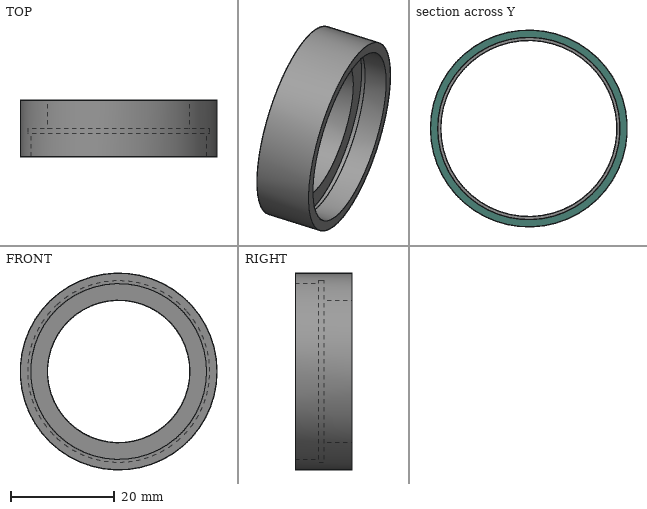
import cadquery as cq

outer_diameter = 38.1
bore_diameter = 27.5
width = 11.0
counterbore_diameter = 34.0
counterbore_depth = 5.5

groove_diameter = 35.2
groove_width = 1.0


def cylinder_along_y(diameter, start, end):
    """Cylinder on the Y axis between the two given Y positions."""
    return cq.Workplane("XZ", origin=(0, start, 0)).circle(diameter / 2).extrude(start - end)


ring = cylinder_along_y(outer_diameter, 0, width)
bore = cylinder_along_y(bore_diameter, 0, width)
counterbore = cylinder_along_y(counterbore_diameter, 0, counterbore_depth)
groove = cylinder_along_y(groove_diameter, counterbore_depth - groove_width, counterbore_depth)

result = ring.cut(bore).cut(counterbore).cut(groove)